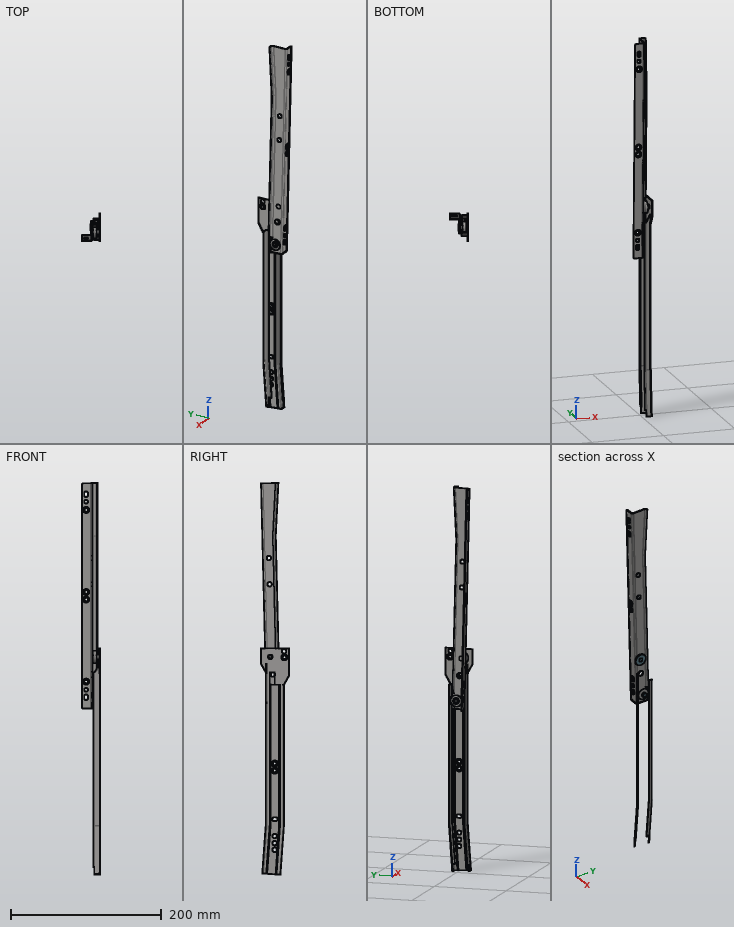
import cadquery as cq
import math

overall_length = 521.0
wall_x = 24.5
sheet = 1.3

rail_depth = 9.5
rail_height = 24.5
rail_base_y = 6.0
rail_top_z = 301.0
upper_lip = 4.95
lower_lip = 2.35
rail_round = 1.5
rail_mid_y = rail_base_y + rail_height / 2
rail_lip_x = wall_x - rail_depth
rail_web_x = wall_x - sheet
panel_step = 0.5
panel_width = 11.0
panel_bevel = 1.5
panel_x = rail_web_x - panel_step
bend_z = 65.5
bend_angle = math.radians(4.1)
lip_trim = 10.5
head_height = 37.5
lower_flange_top_z = 269.5
upper_flange_top_z = 253.0
lobe_straight_z = 280.5
ear_straight_z = 264.5
gusset_x = 17.0

drawer_base_z = 221.0
drawer_height = 18.0
drawer_front_height = 23.5
drawer_flare_length = 70.5
drawer_tilt = math.radians(1.4)
drawer_tip_rise = drawer_front_height * math.sin(drawer_tilt)
drawer_length = (overall_length - drawer_base_z - drawer_tip_rise) / math.cos(drawer_tilt)
drawer_base_y = drawer_length * math.sin(drawer_tilt)
drawer_web_x = 12.5
drawer_inner_x = drawer_web_x + sheet
drawer_edge_x = 21.5
drawer_lip = 4.0
drawer_round = 2.5
match_distance = 0.05
drawer_corner = 2.0
top_flange_start = 21.0

hole_diameter = 4.5
plain_diameter = 5.5
sink_diameter = 8.5
sink_depth = 0.8
slot_length = 7.5

flange_hole_x = 5.5
flange_middle = 150.0
flange_sunk_offsets = [4.95, 114.0]
flange_plain_offset = 125.0
flange_slot_offset = 135.0
web_hole_y = 8.5
web_hole_diameter = 5.5
web_hole_places = [165.0, 200.0]
access_hole_place = 45.5
access_hole_diameter = 7.5

rail_sunk_places = [148.0, 138.5]
rail_slot_z = 74.0
rail_plain_places = [51.5, 42.0, 33.5]
rail_tail_hole_y = 18.0
head_sunk_place = (31.5, 289.0)
head_plain_place = (31.0, 297.0)
adjust_hole_place = (16.0, 266.5)

roller_radius = 8.5
roller_width = 5.0
roller_round = 1.0
shank_radius = 2.0
collar_radius = 3.0
front_axle_place = (12.5, 290.0)
front_head_x = 14.0
front_head_thickness = 0.5
front_roller_x = front_head_x + front_head_thickness
rear_axle_local = (12.0, 11.0)
rear_head_x = 11.0
rear_head_radius = 4.0
rear_washer_radius = 8.0
rear_washer_thickness = 0.8
rear_roller_x = 16.5
rear_axle_end_gap = 0.5


def in_place(y, z):
    """Y and Z of a point given across and along the tilted drawer rail."""
    cosine = math.cos(drawer_tilt)
    sine = math.sin(drawer_tilt)
    return (drawer_base_y + y * cosine - z * sine, drawer_base_z + y * sine + z * cosine)


def disc(x_start, x_end, radius, place):
    """Cylinder along X, centred on a (Y, Z) place."""
    return cq.Workplane("YZ", origin=(x_start, 0, 0)).center(*place).circle(radius).extrude(x_end - x_start)


def sunk_hole_x(place, face_x):
    """Countersunk cutter along +X, wide at the sheet face at face_x."""
    sink = (
        cq.Workplane("YZ", origin=(face_x, 0, 0)).center(*place).circle(sink_diameter / 2)
        .workplane(offset=sink_depth).circle(hole_diameter / 2).loft(ruled=True)
    )
    return sink.union(disc(face_x, face_x + sheet, hole_diameter / 2, place))


def panel_outline(base_x):
    """Bevelled step of the web's middle panel, rising towards -X from base_x."""
    half_top = panel_width / 2
    half_base = half_top + panel_bevel
    corners = [
        (base_x, rail_mid_y - half_base),
        (base_x - panel_step, rail_mid_y - half_top),
        (base_x - panel_step, rail_mid_y + half_top),
        (base_x, rail_mid_y + half_base),
    ]
    return cq.Sketch().polygon(corners + corners[:1])


def rail_channel():
    """C channel with rounded corners and a raised web panel, swept along the straight and tail."""
    tail_length = (bend_z - rail_height * math.sin(bend_angle)) / math.cos(bend_angle)
    tail_end = (
        rail_base_y - tail_length * math.sin(bend_angle),
        bend_z - tail_length * math.cos(bend_angle),
    )
    path = cq.Workplane("YZ", origin=(rail_web_x, 0, 0)).polyline(
        [(rail_base_y, lower_flange_top_z), (rail_base_y, bend_z), tail_end]
    )
    centre = (rail_lip_x + rail_depth / 2, rail_mid_y)
    mouth_width = rail_height - upper_lip - lower_lip
    mouth_centre = (rail_lip_x, rail_mid_y + (lower_lip - upper_lip) / 2)
    section = (
        cq.Sketch()
        .push([centre]).rect(rail_depth, rail_height).reset().vertices().fillet(rail_round).reset()
    )
    hollow = (
        cq.Sketch()
        .push([centre]).rect(rail_depth - 2 * sheet, rail_height - 2 * sheet).reset()
        .vertices().fillet(rail_round - sheet).reset()
        .push([mouth_centre]).rect(rail_depth, mouth_width).reset()
    )
    section = section - hollow - panel_outline(wall_x) + panel_outline(rail_web_x)
    plane = cq.Workplane("XY", origin=(0, 0, lower_flange_top_z))
    channel = plane.placeSketch(section).sweep(path, transition="right")
    upper_cut = cq.Workplane("XY").box(
        rail_depth, rail_height / 2, lower_flange_top_z - upper_flange_top_z, centered=False
    ).translate((rail_web_x - rail_depth, rail_mid_y, upper_flange_top_z))
    lip_cut = cq.Workplane("XY").box(sheet, head_height, lip_trim, centered=False).translate(
        (rail_lip_x, 0, 0)
    )
    return channel.cut(upper_cut).cut(lip_cut)


def rail_head():
    """Flat plate at the front of the rail, wider than the channel on both sides."""
    rail_top_y = rail_base_y + rail_height
    outline = [
        (0, rail_top_z),
        (head_height, rail_top_z),
        (head_height, ear_straight_z),
        (rail_top_y, upper_flange_top_z),
        (rail_base_y + rail_round, upper_flange_top_z),
        (rail_base_y + rail_round, lower_flange_top_z),
        (rail_base_y, lower_flange_top_z),
        (0, lobe_straight_z),
    ]
    return cq.Workplane("YZ", origin=(rail_web_x, 0, 0)).polyline(outline).close().extrude(sheet)


def rail_gusset():
    """Tapered start of the lower flange, rising along the head plate."""
    base_z = lower_flange_top_z - sheet
    outline = [
        (gusset_x, base_z),
        (wall_x, base_z),
        (wall_x, lobe_straight_z),
        (rail_web_x, lobe_straight_z),
        (gusset_x, lower_flange_top_z),
    ]
    return cq.Workplane("XZ", origin=(0, rail_base_y, 0)).polyline(outline).close().extrude(-sheet)


def make_cabinet_rail():
    rail = rail_channel().union(rail_head()).union(rail_gusset())
    for z in rail_sunk_places:
        rail = rail.cut(sunk_hole_x((rail_mid_y, z), panel_x))
    rail = rail.cut(sunk_hole_x(head_sunk_place, rail_web_x))
    for place in [head_plain_place, adjust_hole_place] + [(rail_tail_hole_y, z) for z in rail_plain_places]:
        rail = rail.cut(disc(panel_x, wall_x, plain_diameter / 2, place))
    slot = (
        cq.Workplane("YZ", origin=(panel_x, 0, 0)).center(rail_mid_y, rail_slot_z)
        .slot2D(slot_length, hole_diameter).extrude(sheet)
    )
    return rail.cut(slot).cut(disc(rail_web_x, wall_x, shank_radius, front_axle_place))


def drawer_section(height, z):
    """Closed outline of the drawer rail sheet, with its three bends rounded."""
    under_top = height - sheet
    outer_bends = [(drawer_inner_x, 0), (drawer_web_x, height), (drawer_edge_x, height)]
    inner_bends = [(drawer_web_x, sheet), (drawer_inner_x, under_top), (drawer_edge_x - sheet, under_top)]
    corners = [
        (0, 0), outer_bends[0], inner_bends[1], inner_bends[2],
        (drawer_edge_x - sheet, height - drawer_lip), (drawer_edge_x, height - drawer_lip),
        outer_bends[2], outer_bends[1], inner_bends[0], (0, sheet),
    ]
    wire = cq.Wire.makePolygon([cq.Vector(x, y, z) for x, y in corners], close=True)
    for bends, radius in [(outer_bends, drawer_round), (inner_bends, drawer_round - sheet)]:
        tips = [cq.Vector(x, y, z) for x, y in bends]
        chosen = [
            vertex for vertex in wire.Vertices()
            if any((vertex.Center() - tip).Length < match_distance for tip in tips)
        ]
        wire = wire.fillet2D(radius, chosen)
    return wire


def drawer_sheet():
    """Bent sheet of even height that flares up towards the front end."""
    flare_start = drawer_length - drawer_flare_length
    sections = [
        drawer_section(drawer_height, 0),
        drawer_section(drawer_height, flare_start),
        drawer_section(drawer_front_height, drawer_length),
    ]
    even = cq.Workplane(cq.Solid.makeLoft(sections[:2], True))
    flared = cq.Workplane(cq.Solid.makeLoft(sections[1:], True))
    body = even.union(flared)
    body = body.edges("|Y and <X").fillet(drawer_corner)
    notch = cq.Workplane("XY").box(drawer_edge_x, drawer_height, top_flange_start, centered=False).translate(
        (drawer_inner_x, sheet, 0)
    )
    web_end = cq.Workplane("XY").box(
        sheet, drawer_height - drawer_round, top_flange_start, centered=False
    ).translate((drawer_web_x, drawer_round, 0))
    roller_ear = disc(drawer_web_x, drawer_inner_x, roller_radius, rear_axle_local)
    return body.cut(notch).union(web_end).union(roller_ear)


def flange_holes():
    """Cutters along +Y through the bottom flange, mirrored about its middle."""
    cutters = cq.Workplane("XY")

    def tool(z):
        return cq.Workplane("XZ", origin=(flange_hole_x, 0, z))

    for side in (-1, 1):
        for offset in flange_sunk_offsets:
            z = flange_middle + side * offset
            sink = (
                tool(z).circle(sink_diameter / 2)
                .workplane(offset=-sink_depth).circle(hole_diameter / 2).loft(ruled=True)
            )
            cutters = cutters.add(sink).add(tool(z).circle(hole_diameter / 2).extrude(-sheet))
        plain = tool(flange_middle + side * flange_plain_offset).circle(hole_diameter / 2).extrude(-sheet)
        slot = tool(flange_middle + side * flange_slot_offset).slot2D(slot_length, hole_diameter, 90)
        cutters = cutters.add(plain).add(slot.extrude(-sheet))
    return cutters


def make_drawer_rail():
    rail = drawer_sheet()
    for cutter in flange_holes().vals():
        rail = rail.cut(cq.Workplane(cutter))
    for z in web_hole_places:
        rail = rail.cut(disc(drawer_web_x, drawer_inner_x, web_hole_diameter / 2, (web_hole_y, z)))
    rail = rail.cut(
        disc(drawer_web_x, drawer_inner_x, access_hole_diameter / 2, (web_hole_y, access_hole_place))
    )
    rail = rail.cut(disc(drawer_web_x, drawer_inner_x, shank_radius, rear_axle_local))
    tilted = rail.rotate((0, 0, 0), (1, 0, 0), math.degrees(drawer_tilt))
    return tilted.translate((0, drawer_base_y, drawer_base_z))


def make_roller(x_start, place):
    roller = disc(x_start, x_start + roller_width, roller_radius, place).edges().fillet(roller_round)
    return roller.cut(disc(x_start, x_start + roller_width, shank_radius, place))


def make_front_axle():
    """Headed pin fixed in the cabinet rail's head plate."""
    head = disc(front_head_x, front_roller_x, collar_radius, front_axle_place)
    shank = disc(front_head_x, wall_x, shank_radius, front_axle_place)
    collar = disc(front_roller_x + roller_width, rail_web_x, collar_radius, front_axle_place)
    return head.union(shank).union(collar)


def make_rear_axle(place):
    """Pin with a stepped head, fixed in the drawer rail's web."""
    head = disc(rear_head_x, drawer_web_x, rear_head_radius, place)
    washer = disc(drawer_web_x - rear_washer_thickness, drawer_web_x, rear_washer_radius, place)
    shank = disc(rear_head_x, panel_x - rear_axle_end_gap, shank_radius, place)
    collar = disc(drawer_inner_x, rear_roller_x, collar_radius, place)
    return head.union(washer).union(shank).union(collar)


rear_axle_place = in_place(*rear_axle_local)
cabinet_rail = make_cabinet_rail()
drawer_rail = make_drawer_rail()
roller_places = [(front_roller_x, front_axle_place), (rear_roller_x, rear_axle_place)]
rollers = [make_roller(x_start, place).val() for x_start, place in roller_places]
front_axle = make_front_axle()
rear_axle = make_rear_axle(rear_axle_place)

result = cq.Compound.makeCompound(
    [cabinet_rail.val(), drawer_rail.val(), *rollers, front_axle.val(), rear_axle.val()]
)